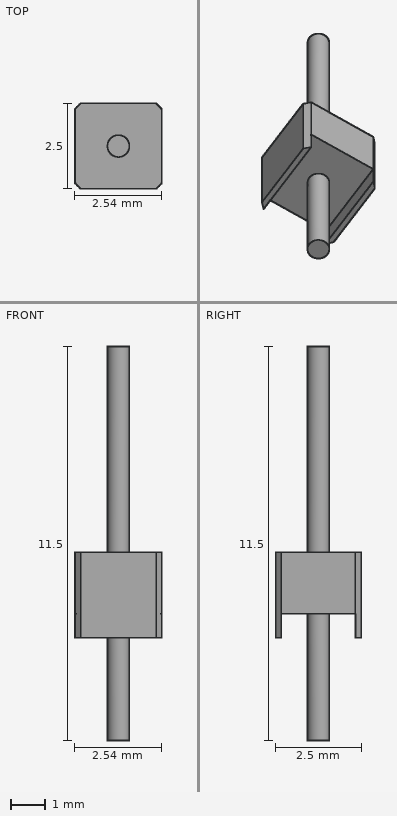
import cadquery as cq

body_length = 2.54
body_width = 2.5
body_height = 2.5
corner_chamfer = 0.17

slot_width = body_width - 2 * corner_chamfer
slot_depth = 0.7

pin_diameter = 0.64
pin_above_body = 6.0
pin_below_body = 3.0
pin_length = pin_below_body + body_height + pin_above_body


def make_housing():
    """Block with chamfered vertical edges and a slot along X in its underside."""
    block = (
        cq.Workplane("XY")
        .box(body_length, body_width, body_height, centered=(True, True, False))
        .edges("|Z")
        .chamfer(corner_chamfer)
    )
    slot = cq.Workplane("XY").box(body_length, slot_width, slot_depth, centered=(True, True, False))
    return block.cut(slot)


def make_pin():
    """Straight round pin on the block's vertical axis."""
    return (
        cq.Workplane("XY")
        .workplane(offset=-pin_below_body)
        .circle(pin_diameter / 2)
        .extrude(pin_length)
    )


result = make_housing().union(make_pin())